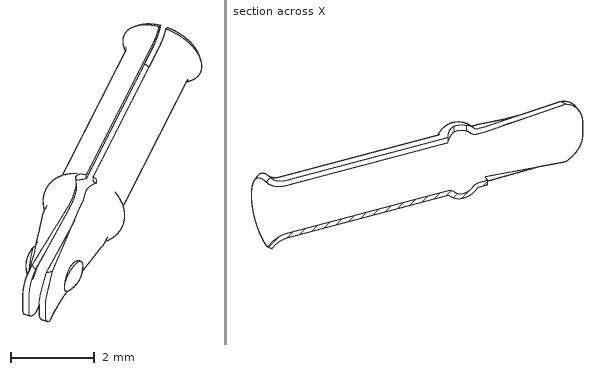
import cadquery as cq
import math

length = 8.33
wall = 0.15
tube_radius = 0.82
bore_radius = tube_radius - wall
rim_radius = 1.02

flare_bend = 0.5
flare_center_radius = tube_radius + flare_bend
flare_angle = math.acos((flare_center_radius - rim_radius) / flare_bend)
flare_start = length - (flare_bend + wall) * math.sin(flare_angle)

bulge_y = 3.19
bulge_bend = 0.45
bulge_root = 0.08
bulge_center_radius = rim_radius - bulge_bend
root_rise = tube_radius + bulge_root - bulge_center_radius
root_offset = math.sqrt((bulge_bend + bulge_root) ** 2 - root_rise ** 2)
root_angle = math.atan2(root_rise, root_offset)

seam_width = 0.175
gap_width = 0.27
seam_hole_y = 3.315
seam_hole_radius = 0.26
seam_taper_end = 3.05
jaw_root = 2.56
jaw_thickness = 0.16
jaw_half_height = 0.88
jaw_corner_radius = 0.68
cut_size = 3.33
overrun = 0.08

dome_y = 1.2
dome_base_radius = 0.4
dome_height = 0.13
dome_embed = 0.1


def turned_body(inset):
    """Solid of revolution bounded by the wall surface lying inset below the outer surface."""
    radius = tube_radius - inset
    arc = bulge_bend - inset
    root = bulge_root + inset
    root_half_turn = (math.pi / 2 - root_angle) / 2

    def flare_point(angle, depth):
        bend = flare_bend + depth
        return (flare_center_radius - bend * math.cos(angle), flare_start + bend * math.sin(angle))

    def bulge_tangent(side):
        return (bulge_center_radius + arc * math.sin(root_angle),
                bulge_y + side * arc * math.cos(root_angle))

    def root_middle(side):
        return (tube_radius + bulge_root - root * math.cos(root_half_turn),
                bulge_y + side * (root_offset - root * math.sin(root_half_turn)))

    def root_start(side):
        return (radius, bulge_y + side * root_offset)

    profile = (cq.Workplane("XY").moveTo(0, jaw_root).lineTo(radius, jaw_root)
               .lineTo(*root_start(-1))
               .threePointArc(root_middle(-1), bulge_tangent(-1))
               .threePointArc((bulge_center_radius + arc, bulge_y), bulge_tangent(1))
               .threePointArc(root_middle(1), root_start(1))
               .lineTo(radius, flare_start)
               .threePointArc(flare_point(flare_angle / 2, inset), flare_point(flare_angle, inset)))
    if inset < wall:
        profile = profile.lineTo(*flare_point(flare_angle, wall))
    return profile.lineTo(0, length).close().revolve(360, (0, 0, 0), (0, 1, 0))


def make_tube():
    return turned_body(0).cut(turned_body(wall))


def cut_seam(tube):
    """Open the seam on the +Z side: narrow slit, round hole, taper and the wider jaw gap."""
    slit_x = seam_width / 2
    gap_x = gap_width / 2
    slit_end = seam_hole_y + math.sqrt(seam_hole_radius ** 2 - slit_x ** 2)
    diagonal = seam_hole_radius * math.sqrt(0.5)
    seam = (cq.Workplane("XY")
            .moveTo(slit_x, length + overrun).lineTo(slit_x, slit_end)
            .threePointArc((diagonal, seam_hole_y + diagonal), (seam_hole_radius, seam_hole_y))
            .lineTo(gap_x, seam_taper_end).lineTo(gap_x, jaw_root - overrun)
            .lineTo(-gap_x, jaw_root - overrun).lineTo(-gap_x, seam_taper_end)
            .lineTo(-seam_hole_radius, seam_hole_y)
            .threePointArc((-diagonal, seam_hole_y + diagonal), (-slit_x, slit_end))
            .lineTo(-slit_x, length + overrun)
            .close().extrude(cut_size))
    return tube.cut(seam)


def make_jaw():
    """+X half of the tube wall flattening to a plate at the tip, with rounded end corners."""
    inner_x = gap_width / 2
    outer_x = inner_x + jaw_thickness
    inner_z = math.sqrt(bore_radius ** 2 - inner_x ** 2)
    outer_z = math.sqrt(tube_radius ** 2 - inner_x ** 2)

    root_corners = [(inner_x, -outer_z), (inner_x, outer_z), (inner_x, inner_z), (inner_x, -inner_z)]
    tip_corners = [(outer_x, -jaw_half_height), (outer_x, jaw_half_height),
                   (inner_x, jaw_half_height), (inner_x, -jaw_half_height)]
    root_points = [cq.Vector(x, jaw_root, z) for x, z in root_corners]
    tip_points = [cq.Vector(x, 0, z) for x, z in tip_corners]
    outer_middle = cq.Vector(tube_radius, jaw_root, 0)
    inner_middle = cq.Vector(bore_radius, jaw_root, 0)
    root_edges = [
        cq.Edge.makeThreePointArc(root_points[0], outer_middle, root_points[1]),
        cq.Edge.makeLine(root_points[1], root_points[2]),
        cq.Edge.makeThreePointArc(root_points[2], inner_middle, root_points[3]),
        cq.Edge.makeLine(root_points[3], root_points[0]),
    ]
    tip_edges = [cq.Edge.makeLine(tip_points[i - 1], tip_points[i]) for i in (1, 2, 3, 0)]

    faces = [cq.Face.makeRuledSurface(root, tip) for root, tip in zip(root_edges, tip_edges)]
    for edges in (root_edges, tip_edges):
        faces.append(cq.Face.makeFromWires(cq.Wire.assembleEdges(edges)))
    jaw = cq.Workplane(cq.Solid.makeSolid(cq.Shell.makeShell(faces)))
    outline = (cq.Workplane("XY").box(cut_size, 2 * jaw_root, 2 * jaw_half_height)
               .translate((0, jaw_root, 0))
               .edges("|X and <Y").fillet(jaw_corner_radius))
    return jaw.intersect(outline).union(make_dome(outer_x))


def make_dome(tip_x):
    """Spherical cap standing square to the sloping outer surface of the jaw."""
    slope = (tube_radius - tip_x) / jaw_root
    sphere_radius = (dome_base_radius ** 2 + dome_height ** 2) / (2 * dome_height)
    half_angle = math.asin(dome_base_radius / sphere_radius) / 2
    arc_middle = (dome_height - sphere_radius * (1 - math.cos(half_angle)), sphere_radius * math.sin(half_angle))
    dome = (cq.Workplane("XY").moveTo(-dome_embed, 0).lineTo(-dome_embed, dome_base_radius)
            .lineTo(0, dome_base_radius)
            .threePointArc(arc_middle, (dome_height, 0))
            .close().revolve(360, (0, 0, 0), (1, 0, 0)))
    return (dome.rotate((0, 0, 0), (0, 0, 1), -math.degrees(math.atan(slope)))
            .translate((tip_x + slope * dome_y, dome_y, 0)))


jaw = make_jaw()
result = cut_seam(make_tube()).union(jaw).union(jaw.mirror("YZ"))